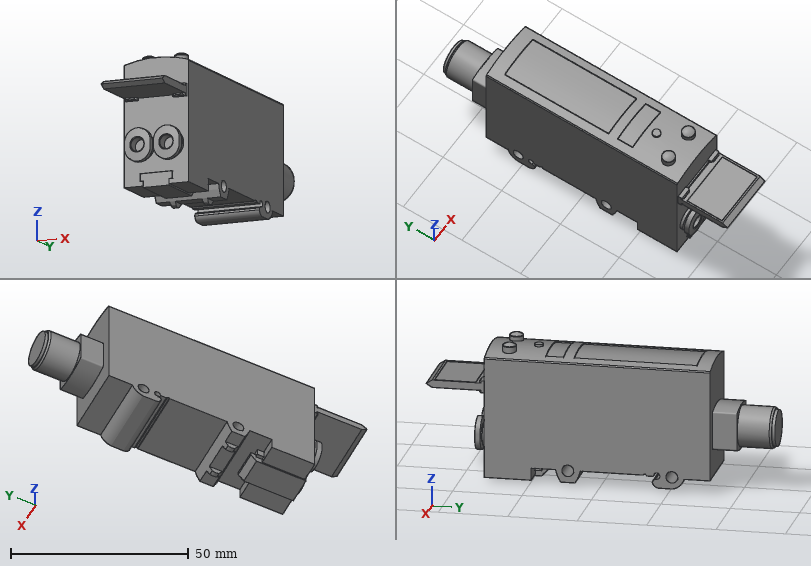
import cadquery as cq

OVERALL_LENGTH = 99.6

WIDTH = 20.0
HALF_WIDTH = WIDTH / 2
LENGTH = 65.0
CROWN_TOP = 36.9
CROWN_EDGE = 35.4
CROWN_EDGE_CHAMFER = 0.3
BLOCK_LENGTH = 13.5
RAIL_FACE = 3.6
REAR_UNDERSIDE = 3.1

CROSS_HOLE_DIA = 3.4
CROSS_HOLE_Z = 3.5
REAR_HOLE_Y = 54.1
HEEL_START = (57.6, REAR_UNDERSIDE)
HEEL_MID = (56.5, 1.2)
SOLE_REAR = (54.2, 0)
SOLE_FRONT = (50.3, 0)
TOE_MID = (49.0, 0.6)
TOE_END = (48.4, 1.6)
SLOT_LIP = (48.6, 2.2)
FRONT_FOOT_Y = 24.1
FOOT_HALF_TOP = 3.6
FOOT_HALF_WAIST = 3.1
FOOT_WAIST_Z = 2.0
FOOT_HALF_BOTTOM = 2.1
SNAP_HOLE_Y = 49.7
SNAP_HOLE_RADIUS = 0.9
SNAP_HOLE_LOW = (49.4, 2.7)
SNAP_HOLE_HIGH = (48.9, 4.0)
RIDGE = [(48.7, 3.4), (46.9, 3.4), (46.4, 3.9), (45.9, 3.9), (45.8, RAIL_FACE)]
TIP_X = 5.0
TIP_WIDTH = 1.9
TIP_END_WIDTH = 1.4
TIP_Z = -1.4
TIP_SHOULDER_HALF = 1.1
TIP_SHOULDER_Z = -1.1

WINDOW_WIDTH = 14.1
WINDOW_DEPTH = 0.35
WINDOWS = [(25.3, 60.7), (17.1, 22.2)]
LAMP_DIA = 2.5
LAMP_Y = 13.7
LAMP_TOP = 37.4
BUTTON_DIA = 4.0
BUTTON_X = 5.0
BUTTON_Y = 6.3
BUTTON_RIM_Z = 37.9
BUTTON_CAP_DIA = 3.9
BUTTON_DOME_Z = 38.1
BUTTON_TOP = 38.8
TOP_PART_ROOT = 34.9

CONNECTOR_Z = 16.8
SOCKET_WIDTH = 12.9
SOCKET_HEIGHT = 12.9
SOCKET_EDGE_DROP = 1.0
SOCKET_FILLET = 0.5
SOCKET_END = 72.1
THREAD_DIA = 12.0
CHAMFER_START = 81.3
CHAMFER_END = 81.9
CHAMFER_END_DIA = 11.3
NOSE_DIA = 10.6
CONNECTOR_END = 82.8

FLAP_WIDTH = 18.9
FLAP_THICKNESS = 2.2
FLAP_Z = 26.6
FLAP_BEVEL_Y = -15.1
FLAP_TIP_Y = CONNECTOR_END - OVERALL_LENGTH
PANEL_WIDTH = 17.7
PANEL_REAR_Y = -2.7
PANEL_FRONT_Y = -14.5
PANEL_DEPTH = 0.2
LUG_INNER_X = 5.5
LUG_REACH = 1.6
LUG_HEIGHT = 3.6
LUG_CORNER_CHAMFER = 0.6
LUG_END_CHAMFER = 0.3
HINGE_STRIP_TOP = 27.9
HINGE_STRIP_REACH = 0.8
HINGE_STRIP_CHAMFER = 0.3

GLAND_X = 4.5
GLAND_Z = 11.5
GLAND_DISC_DIA = 8.0
GLAND_DISC_END = 0.9
GLAND_NECK_DIA = 5.2
GLAND_NUT_WIDTH = 8.0
GLAND_NUT_HEIGHT = 9.7
GLAND_NUT_START = 1.5
GLAND_NUT_END = 3.3
GLAND_RIM_END = 3.0
GLAND_BORE_DIA = 4.0
GLAND_BORE_CHAMFER = 0.25

SLIDER_FRONT_Y = -0.3
FLANGE_WIDTH = 10.0
FLANGE_BOTTOM = 1.4
FLANGE_REAR_Y = 15.5
STEM_WIDTH = 8.0
STEM_BOTTOM = -0.5
HOOK_Y = 17.1
HOOK_TOP = 2.4
HOOK_BEVEL_Y = 15.3


def box(x, y, z):
    """Box between the (low, high) limits given for each axis."""
    size = [high - low for low, high in (x, y, z)]
    return cq.Workplane("XY").box(*size, centered=False).translate((x[0], y[0], z[0]))


def side_profile(half_width):
    """Empty sketch plane for a YZ outline, to be extruded across X from -half_width."""
    return cq.Workplane("YZ", origin=(-half_width, 0, 0))


def crown_prism(drop, y_start, y_end):
    """Housing cross-section with an arched top, lowered by drop, between two Y positions."""
    return (
        cq.Workplane("XZ", origin=(0, y_start, 0))
        .moveTo(-HALF_WIDTH, 0)
        .lineTo(HALF_WIDTH, 0)
        .lineTo(HALF_WIDTH, CROWN_EDGE - drop)
        .threePointArc((0, CROWN_TOP - drop), (-HALF_WIDTH, CROWN_EDGE - drop))
        .close()
        .extrude(y_start - y_end)
    )


def make_shell():
    """Arched block trimmed to its underside outline with the snap slot and both feet."""
    crown = crown_prism(0, 0, LENGTH).edges("|Y").edges(">Z").chamfer(CROWN_EDGE_CHAMFER)
    foot_steps = [
        (FOOT_HALF_TOP, RAIL_FACE),
        (FOOT_HALF_WAIST, FOOT_WAIST_Z),
        (FOOT_HALF_BOTTOM, 0),
    ]
    outline = (
        side_profile(HALF_WIDTH)
        .moveTo(0, 0)
        .lineTo(0, CROWN_TOP)
        .lineTo(LENGTH, CROWN_TOP)
        .lineTo(LENGTH, REAR_UNDERSIDE)
        .lineTo(*HEEL_START)
        .threePointArc(HEEL_MID, SOLE_REAR)
        .lineTo(*SOLE_FRONT)
        .threePointArc(TOE_MID, TOE_END)
        .lineTo(*SLOT_LIP)
        .lineTo(*SNAP_HOLE_LOW)
        .threePointArc((SNAP_HOLE_Y + SNAP_HOLE_RADIUS, RAIL_FACE), SNAP_HOLE_HIGH)
        .polyline(RIDGE, includeCurrent=True)
        .polyline([(FRONT_FOOT_Y + half, z) for half, z in foot_steps], includeCurrent=True)
        .polyline([(FRONT_FOOT_Y - half, z) for half, z in reversed(foot_steps)], includeCurrent=True)
        .lineTo(BLOCK_LENGTH, RAIL_FACE)
        .lineTo(BLOCK_LENGTH, 0)
        .close()
        .extrude(WIDTH)
    )
    holes = (
        side_profile(HALF_WIDTH)
        .pushPoints([(REAR_HOLE_Y, CROSS_HOLE_Z), (FRONT_FOOT_Y, CROSS_HOLE_Z)])
        .circle(CROSS_HOLE_DIA / 2)
        .extrude(WIDTH)
    )
    return crown.intersect(outline).cut(holes)


def make_foot_tip(x):
    """Tapered tip under the front foot, centred on x."""
    side = (
        side_profile(HALF_WIDTH)
        .moveTo(FRONT_FOOT_Y - FOOT_HALF_BOTTOM, 0)
        .lineTo(FRONT_FOOT_Y - TIP_SHOULDER_HALF, TIP_SHOULDER_Z)
        .threePointArc((FRONT_FOOT_Y, TIP_Z), (FRONT_FOOT_Y + TIP_SHOULDER_HALF, TIP_SHOULDER_Z))
        .lineTo(FRONT_FOOT_Y + FOOT_HALF_BOTTOM, 0)
        .close()
        .extrude(WIDTH)
    )
    taper = (
        cq.Workplane("XZ")
        .polyline([
            (x - TIP_WIDTH / 2, 0),
            (x + TIP_WIDTH / 2, 0),
            (x + TIP_END_WIDTH / 2, TIP_Z),
            (x - TIP_END_WIDTH / 2, TIP_Z),
        ])
        .close()
        .extrude(-LENGTH)
    )
    return side.intersect(taper)


def make_window_cut(front, rear):
    """Shallow window whose floor follows the arched top."""
    half = WINDOW_WIDTH / 2
    block = box((-half, half), (front, rear), (TOP_PART_ROOT, CROWN_TOP))
    return block.cut(crown_prism(WINDOW_DEPTH, front, rear))


def make_lamp():
    """Small flat indicator lamp."""
    return (
        cq.Workplane("XY", origin=(0, LAMP_Y, TOP_PART_ROOT))
        .circle(LAMP_DIA / 2)
        .extrude(LAMP_TOP - TOP_PART_ROOT)
    )


def make_button(x):
    """Round push button: stem and a slightly narrower domed cap."""
    cap_radius = BUTTON_CAP_DIA / 2
    dome = BUTTON_TOP - BUTTON_DOME_Z
    sphere_radius = (cap_radius**2 + dome**2) / (2 * dome)
    root = cq.Workplane("XY", origin=(x, BUTTON_Y, TOP_PART_ROOT))
    stem = root.circle(BUTTON_DIA / 2).extrude(BUTTON_RIM_Z - TOP_PART_ROOT)
    cap = root.circle(cap_radius).extrude(BUTTON_TOP - TOP_PART_ROOT)
    ball = cq.Workplane("XY", origin=(x, BUTTON_Y, BUTTON_TOP - sphere_radius)).sphere(sphere_radius)
    return stem.union(cap.intersect(ball))


def make_connector():
    """Arched socket block and the round threaded end behind it."""
    half_width = SOCKET_WIDTH / 2
    half_height = SOCKET_HEIGHT / 2
    edge = half_height - SOCKET_EDGE_DROP
    socket = (
        cq.Workplane("XZ", origin=(0, LENGTH, CONNECTOR_Z))
        .moveTo(-half_width, -edge)
        .threePointArc((0, -half_height), (half_width, -edge))
        .lineTo(half_width, edge)
        .threePointArc((0, half_height), (-half_width, edge))
        .close()
        .extrude(LENGTH - SOCKET_END)
        .edges("|Y")
        .fillet(SOCKET_FILLET)
    )
    thread = (
        cq.Workplane("XY")
        .polyline([
            (0, LENGTH),
            (THREAD_DIA / 2, LENGTH),
            (THREAD_DIA / 2, CHAMFER_START),
            (CHAMFER_END_DIA / 2, CHAMFER_END),
            (NOSE_DIA / 2, CHAMFER_END),
            (NOSE_DIA / 2, CONNECTOR_END),
            (0, CONNECTOR_END),
        ])
        .close()
        .revolve(360, (0, 0, 0), (0, 1, 0))
        .translate((0, 0, CONNECTOR_Z))
    )
    return socket.union(thread)


def make_flap():
    """Flap with a bevelled tip and a shallow panel, held by two lugs and a strip."""
    half_width = FLAP_WIDTH / 2
    top = FLAP_Z + FLAP_THICKNESS / 2
    bottom = FLAP_Z - FLAP_THICKNESS / 2
    plate = (
        side_profile(half_width)
        .polyline([(0, bottom), (0, top), (FLAP_BEVEL_Y, top), (FLAP_TIP_Y, FLAP_Z), (FLAP_BEVEL_Y, bottom)])
        .close()
        .extrude(FLAP_WIDTH)
    )
    panel = box(
        (-PANEL_WIDTH / 2, PANEL_WIDTH / 2), (PANEL_FRONT_Y, PANEL_REAR_Y), (top - PANEL_DEPTH, top)
    )
    strip = (
        box((-LUG_INNER_X, LUG_INNER_X), (-HINGE_STRIP_REACH, 0), (FLAP_Z, HINGE_STRIP_TOP))
        .edges("|X and >Z and <Y")
        .chamfer(HINGE_STRIP_CHAMFER)
    )
    flap = plate.cut(panel).union(strip)
    lug_z = (FLAP_Z - LUG_HEIGHT / 2, FLAP_Z + LUG_HEIGHT / 2)
    for x in ((-half_width, -LUG_INNER_X), (LUG_INNER_X, half_width)):
        lug = box(x, (-LUG_REACH, 0), lug_z).edges("|Z").edges("<Y").chamfer(LUG_CORNER_CHAMFER)
        lug = lug.edges("|X").edges("<Y").chamfer(LUG_END_CHAMFER)
        flap = flap.union(lug)
    return flap


def gland_turned(points, x):
    """Solid turned about the gland axis from (radius, distance from the front face) points."""
    profile = [(radius, -distance) for radius, distance in points]
    return (
        cq.Workplane("XY")
        .polyline(profile)
        .close()
        .revolve(360, (0, 0, 0), (0, 1, 0))
        .translate((x, 0, GLAND_Z))
    )


def make_gland(x):
    """Fibre gland: round disc, neck and an oblong nut with a conical face, bored to the front face."""
    neck_radius = GLAND_NECK_DIA / 2
    disc_radius = GLAND_DISC_DIA / 2
    bore_radius = GLAND_BORE_DIA / 2
    mouth_radius = bore_radius + GLAND_BORE_CHAMFER
    rim_radius = GLAND_NUT_HEIGHT / 2
    nut = (
        cq.Workplane("XZ", origin=(x, -GLAND_NUT_START, GLAND_Z))
        .slot2D(GLAND_NUT_HEIGHT, GLAND_NUT_WIDTH, 90)
        .extrude(GLAND_NUT_END - GLAND_NUT_START)
    )
    cone_points = [
        (0, 0),
        (rim_radius, 0),
        (rim_radius, GLAND_RIM_END),
        (mouth_radius, GLAND_NUT_END),
        (0, GLAND_NUT_END),
    ]
    shaft_points = [
        (0, 0),
        (disc_radius, 0),
        (disc_radius, GLAND_DISC_END),
        (neck_radius, GLAND_DISC_END),
        (neck_radius, GLAND_NUT_START),
        (0, GLAND_NUT_START),
    ]
    bore_points = [
        (0, 0),
        (bore_radius, 0),
        (bore_radius, GLAND_NUT_END - GLAND_BORE_CHAMFER),
        (mouth_radius, GLAND_NUT_END),
        (0, GLAND_NUT_END),
    ]
    body = nut.intersect(gland_turned(cone_points, x)).union(gland_turned(shaft_points, x))
    return body.cut(gland_turned(bore_points, x))


def make_slider():
    """T-shaped rail slider with a hook at its rear end."""
    flange = box(
        (-FLANGE_WIDTH / 2, FLANGE_WIDTH / 2), (SLIDER_FRONT_Y, FLANGE_REAR_Y), (FLANGE_BOTTOM, RAIL_FACE)
    )
    stem = (
        side_profile(STEM_WIDTH / 2)
        .polyline([
            (SLIDER_FRONT_Y, STEM_BOTTOM),
            (SLIDER_FRONT_Y, HOOK_TOP),
            (HOOK_Y, HOOK_TOP),
            (HOOK_Y, FLANGE_BOTTOM),
            (HOOK_BEVEL_Y, STEM_BOTTOM),
        ])
        .close()
        .extrude(STEM_WIDTH)
    )
    return flange.union(stem)


def make_housing(slider):
    """Housing with all fixed details and a slot that matches the slider."""
    body = make_shell()
    for front, rear in WINDOWS:
        body = body.cut(make_window_cut(front, rear))
    body = body.union(make_lamp()).union(make_connector()).union(make_flap())
    for side in (-1, 1):
        body = body.union(make_button(side * BUTTON_X))
        body = body.union(make_foot_tip(side * TIP_X))
        body = body.union(make_gland(side * GLAND_X))
    return body.cut(slider)


rail_slider = make_slider()
housing = make_housing(rail_slider)
result = cq.Compound.makeCompound([housing.val(), rail_slider.val()])